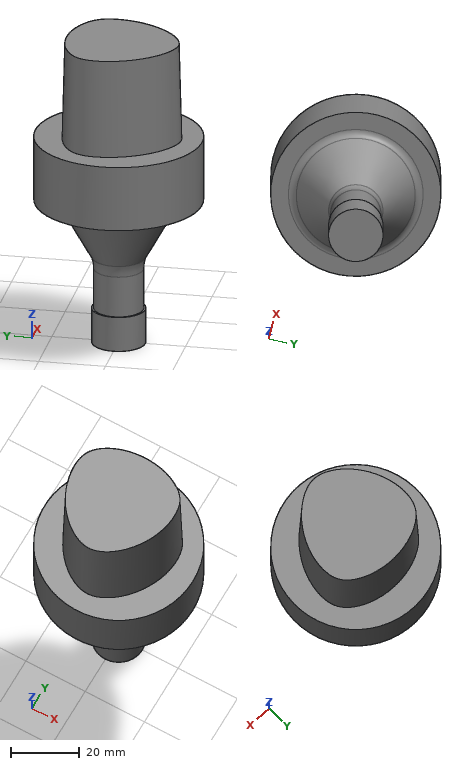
import cadquery as cq
import math

total_height = 95.0
flange_top = 65.0
flange_bottom = 45.0
neck_blend_top = 26.9
neck_blend_bottom = 23.3
collar_top = 10.7

flange_radius = 50.0 / 2
collar_radius = 16.0 / 2
neck_radius = 14.8 / 2
cone_bottom_radius = 8.0
cone_half_angle = math.radians(29.4)
flange_fillet = 2.7

shank_base_radius = 17.6
shank_top_radius = 16.8
lobe_height = 1.1
outline_points = 72


def turned_body():
    """Revolve the collar, neck, cone and flange about Z."""
    cone_top = flange_bottom - flange_fillet * (1 - math.sin(cone_half_angle))
    cone_top_radius = cone_bottom_radius + (cone_top - neck_blend_top) * math.tan(cone_half_angle)
    fillet_center_radius = cone_top_radius + flange_fillet * math.cos(cone_half_angle)
    fillet_center_z = flange_bottom - flange_fillet
    middle_angle = (math.pi / 2 + math.pi - cone_half_angle) / 2
    fillet_middle = (
        fillet_center_radius + flange_fillet * math.cos(middle_angle),
        fillet_center_z + flange_fillet * math.sin(middle_angle),
    )
    profile = (
        cq.Workplane("XZ")
        .lineTo(collar_radius, 0)
        .lineTo(collar_radius, collar_top)
        .lineTo(neck_radius, collar_top)
        .lineTo(neck_radius, neck_blend_bottom)
        .tangentArcPoint((cone_bottom_radius, neck_blend_top), relative=False)
        .lineTo(cone_top_radius, cone_top)
        .threePointArc(fillet_middle, (fillet_center_radius, flange_bottom))
        .lineTo(flange_radius, flange_bottom)
        .lineTo(flange_radius, flange_top)
        .lineTo(0, flange_top)
        .close()
    )
    return profile.revolve(360, (0, 0, 0), (0, 1, 0))


def lobed_outline(mean_radius, z):
    """Closed constant-width curve with three rounded lobes, one pointing to -Y."""
    points = []
    for index in range(outline_points):
        angle = 2 * math.pi * index / outline_points
        reach = mean_radius + lobe_height * math.cos(3 * angle)
        reach_rate = -3 * lobe_height * math.sin(3 * angle)
        along = reach * math.cos(angle) - reach_rate * math.sin(angle)
        across = reach * math.sin(angle) + reach_rate * math.cos(angle)
        points.append(cq.Vector(across, -along, z))
    return cq.Wire.assembleEdges([cq.Edge.makeSpline(points, periodic=True)])


def tapered_shank():
    """Loft the lobed outline from the flange face to the top face."""
    base = lobed_outline(shank_base_radius, flange_top)
    top = lobed_outline(shank_top_radius, total_height)
    return cq.Workplane(cq.Solid.makeLoft([base, top], True))


result = turned_body().union(tapered_shank())